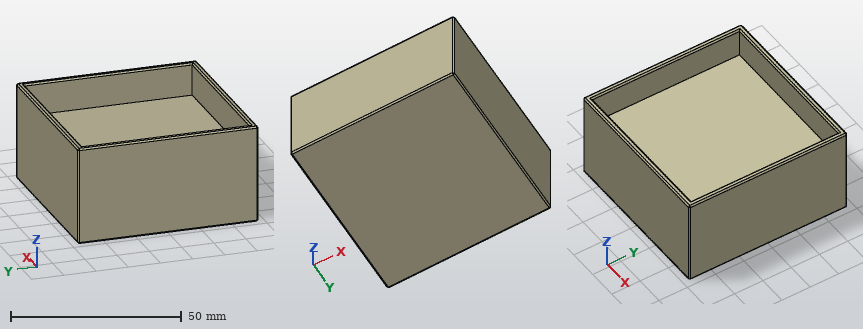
import cadquery as cq

side = 56.0
height = 30.0

pocket_side = 52.0
pocket_depth = 10.0

edge_chamfer = 0.5

mouth_side = pocket_side + 2 * edge_chamfer


def make_block():
    """Solid square block standing on Z = 0, with every outer edge chamfered."""
    block = cq.Workplane("XY").box(side, side, height, centered=(True, True, False))
    return block.edges().chamfer(edge_chamfer)


def make_pocket():
    """Straight-walled square volume removed from the top of the block."""
    return (
        cq.Workplane("XY", origin=(0, 0, height))
        .rect(pocket_side, pocket_side)
        .extrude(-pocket_depth)
    )


def make_mouth_chamfer():
    """Tapered volume that chamfers the upper inner edges of the walls."""
    return (
        cq.Workplane("XY", origin=(0, 0, height))
        .rect(mouth_side, mouth_side)
        .workplane(offset=-edge_chamfer)
        .rect(pocket_side, pocket_side)
        .loft(ruled=True)
    )


result = make_block().cut(make_pocket()).cut(make_mouth_chamfer())